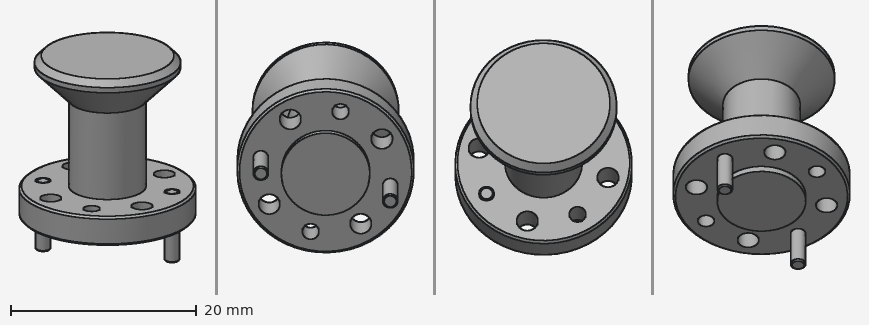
import cadquery as cq
import math

boss_bottom = 3.85
flange_bottom = 4.58
flange_top = 7.93
stem_top = 17.88
rim_bottom = 21.6
rim_top = 22.19
knob_top = 22.92

boss_radius = 4.77
flange_diameter = 19.05
flange_radius = flange_diameter / 2
flange_chamfer = 0.25
stem_radius = 4.17
knob_radius = 7.88
knob_chamfer = knob_top - rim_top

hole_circle_radius = 7.15
screw_hole_diameter = 2.3
dowel_hole_diameter = 1.79
pin_diameter = 1.63
pin_chamfer = 0.15

screw_angles = [0, 90, 180, 270]
dowel_hole_angles = [135, 315]
pin_angles = [45, 225]


def on_hole_circle(angle):
    """Point on the hole circle at an angle in degrees from +X."""
    turn = math.radians(angle)
    return (hole_circle_radius * math.cos(turn), hole_circle_radius * math.sin(turn))


def flange_holes(angles, diameter):
    """Cylinders that cut holes through the flange."""
    return (
        cq.Workplane("XY", origin=(0, 0, flange_bottom))
        .pushPoints([on_hole_circle(angle) for angle in angles])
        .circle(diameter / 2)
        .extrude(flange_top - flange_bottom)
    )


def make_plug():
    """Turned knob, stem, flange and locating boss, with the flange drilled."""
    flange_face_radius = flange_radius - flange_chamfer
    turned = (
        cq.Workplane("XZ")
        .moveTo(0, boss_bottom)
        .lineTo(boss_radius, boss_bottom)
        .lineTo(boss_radius, flange_bottom)
        .lineTo(flange_face_radius, flange_bottom)
        .lineTo(flange_radius, flange_bottom + flange_chamfer)
        .lineTo(flange_radius, flange_top - flange_chamfer)
        .lineTo(flange_face_radius, flange_top)
        .lineTo(stem_radius, flange_top)
        .lineTo(stem_radius, stem_top)
        .lineTo(knob_radius, rim_bottom)
        .lineTo(knob_radius, rim_top)
        .lineTo(knob_radius - knob_chamfer, knob_top)
        .lineTo(0, knob_top)
        .close()
        .revolve(360, (0, 0, 0), (0, 1, 0))
    )
    return (
        turned.cut(flange_holes(screw_angles, screw_hole_diameter))
        .cut(flange_holes(dowel_hole_angles, dowel_hole_diameter))
    )


def make_pin(angle):
    """Dowel pin with chamfered ends, its upper end flush with the flange."""
    x, y = on_hole_circle(angle)
    return (
        cq.Workplane("XY", origin=(x, y, 0))
        .circle(pin_diameter / 2)
        .extrude(flange_top)
        .faces("<Z or >Z")
        .chamfer(pin_chamfer)
    )


pins = [make_pin(angle) for angle in pin_angles]

plug = make_plug().cut(flange_holes(pin_angles, pin_diameter))

result = cq.Compound.makeCompound([plug.val(), *[pin.val() for pin in pins]])